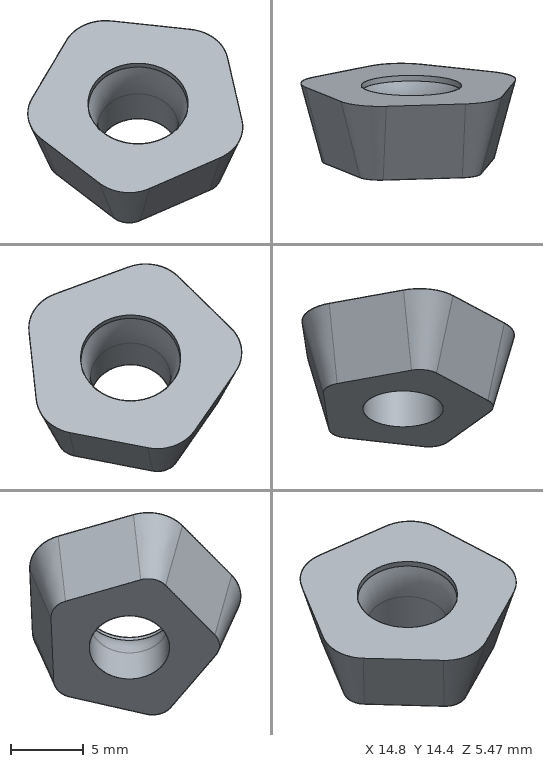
import cadquery as cq
import math

overall_width = 14.82
height = 5.47
side_count = 5
flat_length = 5.48
relief_angle = 15.0

bore_diameter = 5.5
mouth_diameter = 6.86
mouth_depth = 0.39
seat_top_diameter = 6.79
seat_depth = 2.21

half_angle = math.pi / side_count
centre_circle_radius = flat_length / 2 / math.sin(half_angle)
widest_corner_offset = centre_circle_radius * math.cos(half_angle / 2)
corner_radius = overall_width / 2 - widest_corner_offset
inradius = flat_length / 2 / math.tan(half_angle) + corner_radius
sharp_corner_radius = inradius / math.cos(half_angle)


def make_body():
    """Rounded pentagon with one corner towards +Y, tapered downwards."""
    corners = []
    for index in range(side_count):
        angle = math.pi / 2 + 2 * half_angle * index
        corners.append((sharp_corner_radius * math.cos(angle), sharp_corner_radius * math.sin(angle)))
    prism = cq.Workplane("XY").polyline(corners).close().extrude(height)
    outline = prism.edges("|Z").fillet(corner_radius).faces(">Z").wires().toPending()
    return outline.workplane().extrude(-height, combine=False, taper=relief_angle)


def make_hole():
    """Revolved cutter: bore, convex seat flaring tangentially from it, then the mouth."""
    bore_radius = bore_diameter / 2
    seat_top_radius = seat_top_diameter / 2
    seat_flare = seat_top_radius - bore_radius
    seat_top = height - mouth_depth
    seat_bottom = seat_top - seat_depth
    return (
        cq.Workplane("XZ")
        .lineTo(bore_radius, 0)
        .lineTo(bore_radius, seat_bottom)
        .tangentArcPoint((seat_flare, seat_depth))
        .lineTo(mouth_diameter / 2, height)
        .lineTo(0, height)
        .close()
        .revolve(360, (0, 0), (0, 1))
    )


result = make_body().cut(make_hole())